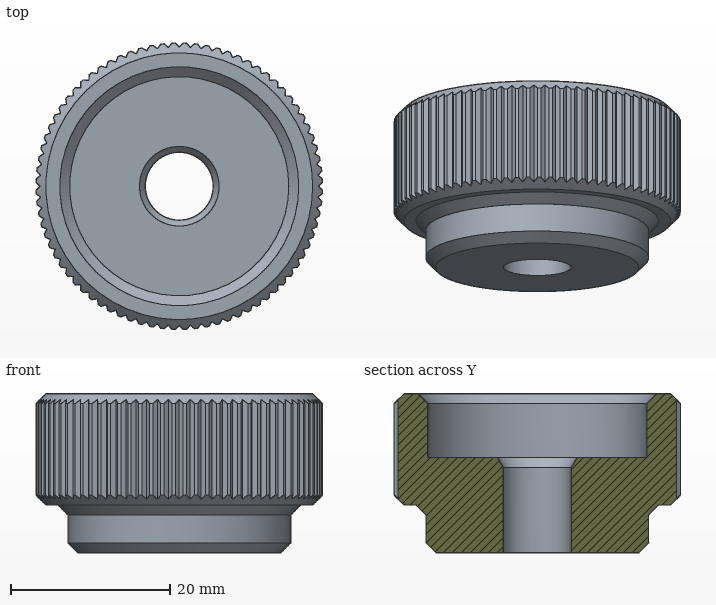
import cadquery as cq

head_diameter = 36.0
neck_diameter = 28.0
total_height = 20.0
head_height = 14.0
edge_chamfer = 1.25

pocket_diameter = 27.5
pocket_depth = 8.0
hole_diameter = 8.5
hole_chamfer_width = 0.75
hole_chamfer_depth = 1.3

groove_count = 80
groove_depth = 0.5

head_radius = head_diameter / 2
neck_radius = neck_diameter / 2
pocket_radius = pocket_diameter / 2
hole_radius = hole_diameter / 2
head_bottom = total_height - head_height
pocket_floor = total_height - pocket_depth


def turned_body():
    """Half section of the knob, revolved about Z."""
    section = [
        (hole_radius, 0),
        (neck_radius - edge_chamfer, 0),
        (neck_radius, edge_chamfer),
        (neck_radius, head_bottom - edge_chamfer),
        (neck_radius + edge_chamfer, head_bottom),
        (head_radius - edge_chamfer, head_bottom),
        (head_radius, head_bottom + edge_chamfer),
        (head_radius, total_height - edge_chamfer),
        (head_radius - edge_chamfer, total_height),
        (pocket_radius + edge_chamfer, total_height),
        (pocket_radius, total_height - edge_chamfer),
        (pocket_radius, pocket_floor),
        (hole_radius + hole_chamfer_width, pocket_floor),
        (hole_radius, pocket_floor - hole_chamfer_depth),
    ]
    return cq.Workplane("XZ").polyline(section).close().revolve(360, (0, 0), (0, 1))


def knurl_grooves():
    """V-shaped cutters over the full head height, evenly spaced, the first one on +X."""
    root_radius = head_radius - groove_depth
    cutter_depth = 2 * groove_depth
    outer_radius = root_radius + cutter_depth
    cutter = (
        cq.Workplane("XY")
        .workplane(offset=head_bottom)
        .polyline([(root_radius, 0), (outer_radius, -cutter_depth), (outer_radius, cutter_depth)])
        .close()
        .extrude(head_height)
    )
    grooves = []
    for index in range(groove_count):
        angle = index * 360 / groove_count
        grooves.append(cutter.rotate((0, 0, 0), (0, 0, 1), angle).val())
    return cq.Workplane(cq.Compound.makeCompound(grooves))


result = turned_body().cut(knurl_grooves())